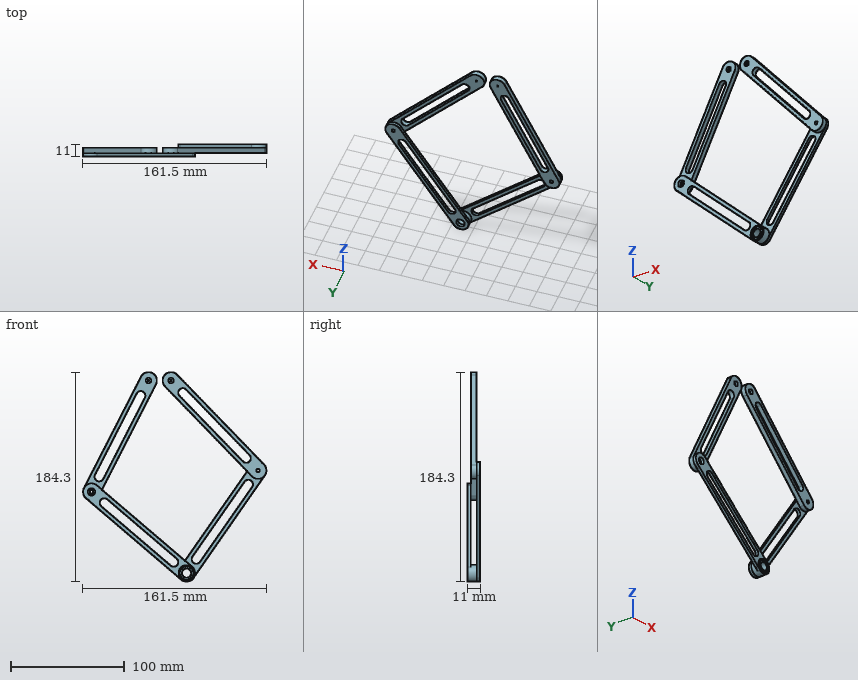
import cadquery as cq
import math

overall_height = 184.3
overall_depth = 11.0
arm_thickness = 5.0
crank_thickness = (overall_depth - arm_thickness) / 2

pivot_spacing = 110.0
link_width = 15.0
slot_width = 8.0
slot_inset = 15.0

left_elbow_x = -83.7
right_elbow_x = 62.8
tip_z = overall_height - link_width

base_bore = 8.0
groove_mouth = 14.2
groove_core = 11.8
groove_depth = 1.5
elbow_clearance_hole = 6.5
right_elbow_hole = 3.0
left_elbow_hole = 3.0
left_elbow_mouth = 3.3
left_mouth_depth = 0.2
tip_socket = 4.8
tip_pinhole = 1.0
tip_socket_depth = 2.5

front_y = 0.0
arm_front_y = front_y + crank_thickness
arm_back_y = arm_front_y + arm_thickness
back_y = arm_back_y + crank_thickness


def other_leg(leg):
    """Remaining leg of a right triangle whose hypotenuse is one pivot spacing."""
    return math.sqrt(pivot_spacing**2 - leg**2)


base = (0.0, 0.0)
left_elbow = (left_elbow_x, other_leg(left_elbow_x))
right_elbow = (right_elbow_x, other_leg(right_elbow_x))
left_tip = (left_elbow_x + other_leg(tip_z - left_elbow[1]), tip_z)
right_tip = (right_elbow_x - other_leg(tip_z - right_elbow[1]), tip_z)


def xz_plane(y):
    """XZ plane at depth y: local x is +X, local y is +Z, extrusion goes to -Y."""
    return cq.Workplane("XZ", origin=(0, y, 0))


def disc(center, diameter, y_start, y_end):
    """Cylinder along Y between two depths."""
    return xz_plane(y_end).center(*center).circle(diameter / 2).extrude(y_end - y_start)


def cone(center, front_diameter, back_diameter, y_start, y_end):
    """Conical frustum along Y between two depths."""
    profile = xz_plane(y_end).center(*center).circle(back_diameter / 2)
    return profile.workplane(offset=y_end - y_start).circle(front_diameter / 2).loft()


def slotted_link(start, end, y_start, y_end):
    """Round-ended bar between two pivots with a long slot through it."""
    middle = ((start[0] + end[0]) / 2, (start[1] + end[1]) / 2)
    angle = math.degrees(math.atan2(end[1] - start[1], end[0] - start[0]))
    depth = y_end - y_start
    slot_length = pivot_spacing - 2 * slot_inset + slot_width
    plane = xz_plane(y_end).center(*middle)
    bar = plane.slot2D(pivot_spacing + link_width, link_width, angle).extrude(depth)
    slot = plane.slot2D(slot_length, slot_width, angle).extrude(depth)
    return bar.cut(slot)


def make_base_groove():
    """Ring cutter with a conical outer wall and a straight inner wall."""
    groove_end_y = front_y + groove_depth
    outer = cone(base, groove_mouth, groove_core, front_y, groove_end_y)
    return outer.cut(disc(base, groove_core, front_y, groove_end_y))


def make_front_crank():
    """Front crank with a spacer boss reaching back to the rear crank."""
    crank = slotted_link(base, left_elbow, front_y, arm_front_y)
    crank = crank.union(disc(base, link_width, front_y, arm_back_y))
    crank = crank.cut(disc(base, base_bore, front_y, arm_back_y))
    crank = crank.cut(make_base_groove())
    return crank.cut(disc(left_elbow, elbow_clearance_hole, front_y, arm_front_y))


def make_back_crank():
    """Rear crank with the base bore and the right elbow pin hole."""
    crank = slotted_link(base, right_elbow, arm_back_y, back_y)
    crank = crank.cut(disc(base, base_bore, arm_back_y, back_y))
    return crank.cut(disc(right_elbow, right_elbow_hole, arm_back_y, back_y))


def make_arm(elbow, tip, elbow_hole):
    """Middle-layer arm with an elbow pin hole and a socket and pinhole at its tip."""
    arm = slotted_link(elbow, tip, arm_front_y, arm_back_y)
    arm = arm.cut(disc(elbow, elbow_hole, arm_front_y, arm_back_y))
    arm = arm.cut(disc(tip, tip_socket, arm_front_y, arm_front_y + tip_socket_depth))
    return arm.cut(disc(tip, tip_pinhole, arm_front_y, arm_back_y))


def make_left_arm():
    """Left arm; its elbow hole has a slightly widened mouth."""
    mouth_end_y = arm_front_y + left_mouth_depth
    mouth = disc(left_elbow, left_elbow_mouth, arm_front_y, mouth_end_y)
    return make_arm(left_elbow, left_tip, left_elbow_hole).cut(mouth)


front_crank = make_front_crank()
back_crank = make_back_crank()
left_arm = make_left_arm()
right_arm = make_arm(right_elbow, right_tip, right_elbow_hole)

result = cq.Compound.makeCompound(
    [front_crank.val(), back_crank.val(), left_arm.val(), right_arm.val()]
)